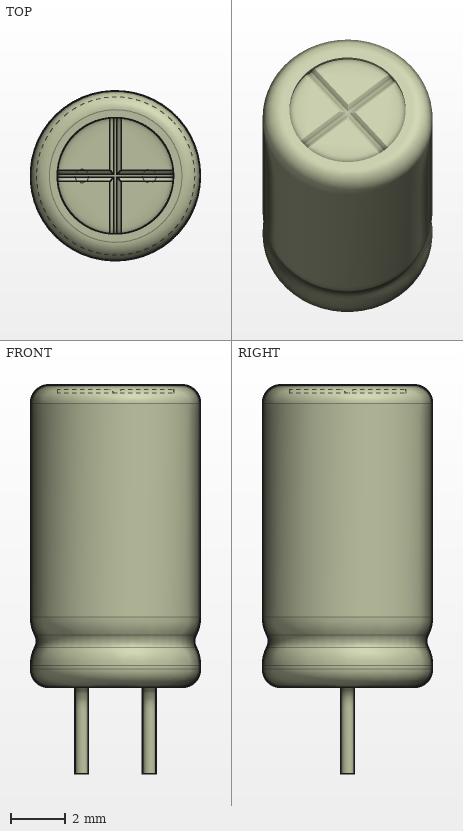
import cadquery as cq
import math

total_height = 14.4
can_diameter = 6.3
can_radius = can_diameter / 2
can_height = 11.2
can_bottom = total_height - can_height
rim_radius = 0.69

crimp_height = 1.71
crimp_depth = 0.22
crimp_half_height = 0.9
crimp_root_radius = 0.5

recess_diameter = 4.3
recess_depth = 0.17
groove_top_width = 0.42
groove_floor_width = 0.12
groove_depth = 0.12

lead_diameter = 0.5
lead_pitch = 2.5
lead_overlap = 0.15


def make_can():
    """Revolve the half section of the rounded, crimped can."""
    z_crimp = can_bottom + crimp_height
    flank_angle = 2 * math.atan(crimp_depth / crimp_half_height)
    shoulder_radius = crimp_half_height / math.sin(flank_angle) - crimp_root_radius
    root_r = can_radius - crimp_depth

    join_r = root_r + crimp_root_radius * (1 - math.cos(flank_angle))
    join_dz = crimp_root_radius * math.sin(flank_angle)

    mid_r = can_radius - shoulder_radius * (1 - math.cos(flank_angle / 2))
    mid_dz = crimp_half_height - shoulder_radius * math.sin(flank_angle / 2)

    rim_inset = rim_radius * (1 - math.sqrt(0.5))
    profile = (
        cq.Workplane("XZ")
        .moveTo(0, can_bottom)
        .lineTo(can_radius - rim_radius, can_bottom)
        .threePointArc(
            (can_radius - rim_inset, can_bottom + rim_inset),
            (can_radius, can_bottom + rim_radius),
        )
        .lineTo(can_radius, z_crimp - crimp_half_height)
        .threePointArc((mid_r, z_crimp - mid_dz), (join_r, z_crimp - join_dz))
        .threePointArc((root_r, z_crimp), (join_r, z_crimp + join_dz))
        .threePointArc((mid_r, z_crimp + mid_dz), (can_radius, z_crimp + crimp_half_height))
        .lineTo(can_radius, total_height - rim_radius)
        .threePointArc(
            (can_radius - rim_inset, total_height - rim_inset),
            (can_radius - rim_radius, total_height),
        )
        .lineTo(0, total_height)
        .close()
    )
    return profile.revolve(360, (0, 0), (0, 1))


def make_vent():
    """Build the recess and its crossed grooves as one cutting body."""
    recess_floor = total_height - recess_depth
    groove_floor = recess_floor - groove_depth
    recess = (
        cq.Workplane("XY")
        .workplane(offset=recess_floor)
        .circle(recess_diameter / 2)
        .extrude(recess_depth)
    )
    groove = (
        cq.Workplane("XZ")
        .moveTo(-groove_floor_width / 2, groove_floor)
        .lineTo(groove_floor_width / 2, groove_floor)
        .lineTo(groove_top_width / 2, recess_floor)
        .lineTo(-groove_top_width / 2, recess_floor)
        .close()
        .extrude(recess_diameter / 2, both=True)
    )
    limit = (
        cq.Workplane("XY")
        .workplane(offset=groove_floor)
        .circle(recess_diameter / 2)
        .extrude(groove_depth)
    )
    vent = recess
    for angle in (0, 90):
        vent = vent.union(groove.rotate((0, 0, 0), (0, 0, 1), angle).intersect(limit))
    return vent


def make_leads():
    """Build the two straight leads below the can."""
    return (
        cq.Workplane("XY")
        .pushPoints([(-lead_pitch / 2, 0), (lead_pitch / 2, 0)])
        .circle(lead_diameter / 2)
        .extrude(can_bottom + lead_overlap)
    )


result = make_can().cut(make_vent()).union(make_leads())